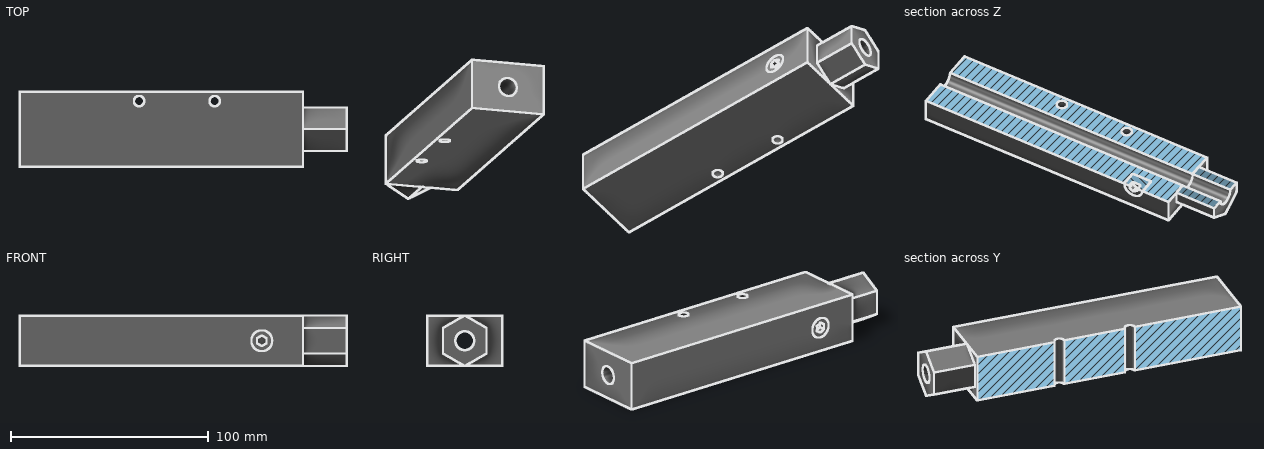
import cadquery as cq
import math

total_length = 165.4
block_length = 143.2
block_width = 38.0
block_height = 25.5
fitting_corner_width = 25.6
bore_diameter = 9.5

mount_hole_diameter = 5.1
mount_hole_edge_offset = 4.8
mount_hole_positions = (60.4, 98.5)

plug_position = 122.4
plug_diameter = 10.5
plug_length = 8.3
socket_flat_width = 4.6
socket_depth = 3.3

fitting_length = total_length - block_length
front_face = -block_width / 2
mount_hole_y = block_width / 2 - mount_hole_edge_offset
socket_corner_width = socket_flat_width / math.cos(math.pi / 6)


def make_block():
    """Block with a lengthwise bore, two vertical mounting holes and a recess for the plug."""
    block = cq.Workplane("XY").box(block_length, block_width, block_height, centered=(False, True, True))
    bore = cq.Workplane("YZ").circle(bore_diameter / 2).extrude(block_length)
    mount_holes = (
        cq.Workplane("XY")
        .pushPoints([(x, mount_hole_y) for x in mount_hole_positions])
        .circle(mount_hole_diameter / 2)
        .extrude(block_height / 2, both=True)
    )
    return block.cut(bore).cut(mount_holes).cut(front_cylinder(plug_diameter, plug_length))


def front_plane():
    """Work plane on the front face at the plug axis, with its normal pointing out of the block."""
    return cq.Workplane("XZ", origin=(plug_position, front_face, 0))


def front_cylinder(diameter, depth):
    """Cylinder running from the front face into the block."""
    return front_plane().circle(diameter / 2).extrude(-depth)


def make_plug():
    """Flush round plug with a hexagonal socket whose corners point up and down."""
    socket = (
        front_plane()
        .transformed(rotate=(0, 0, 90))
        .polygon(6, socket_corner_width)
        .extrude(-socket_depth)
    )
    return front_cylinder(plug_diameter, plug_length).cut(socket)


def make_fitting():
    """Hexagonal end fitting, corners up and down, with the bore running through it."""
    return (
        cq.Workplane("YZ", origin=(block_length, 0, 0))
        .transformed(rotate=(0, 0, 90))
        .polygon(6, fitting_corner_width)
        .circle(bore_diameter / 2)
        .extrude(fitting_length)
    )


block = make_block()
plug = make_plug()
fitting = make_fitting()

result = cq.Compound.makeCompound([block.val(), plug.val(), fitting.val()])